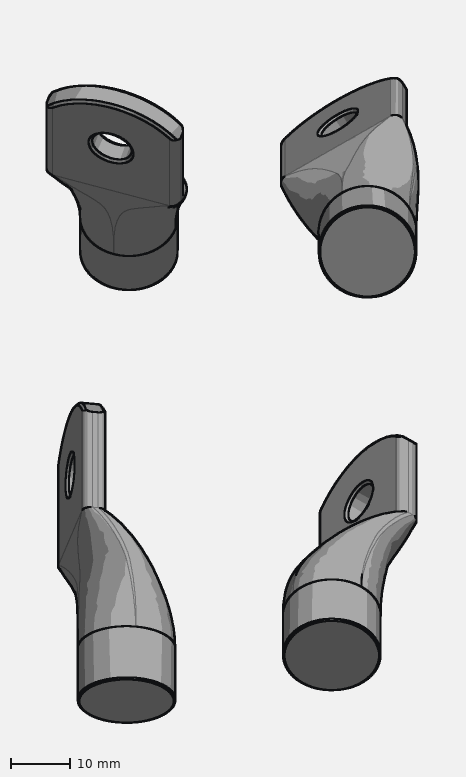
import cadquery as cq
import math


total_height = 54.0

barrel_diameter = 16.5
barrel_height = 10.0
barrel_front = 1.45
barrel_edge_chamfer = 0.25
barrel_radius = barrel_diameter / 2
barrel_axis_y = barrel_front + barrel_radius
barrel_back = barrel_front + barrel_diameter

palm_width = 23.8
palm_thickness = 4.0
palm_bottom = 30.0
palm_side_radius = 1.5
palm_top_radius = 15.0
palm_top_chamfer = 0.5
palm_half_width = palm_width / 2
palm_half_face_flat = palm_half_width - palm_side_radius
palm_half_side_flat = palm_thickness / 2 - palm_side_radius

hole_diameter = 7.0
hole_height = 42.0
hole_chamfer = 0.5

front_bend_start = 21.6
front_bend_end = 28.85
neck_sections = 16
least_half_flat = 0.025
widening_delay_power = 1.2
face_flat_power = 4

neck_height = palm_bottom - barrel_height
back_drop = barrel_back - palm_thickness
neck_back_radius = (neck_height**2 + back_drop**2) / (2 * back_drop)


def blend(start, end, fraction):
    return start + (end - start) * fraction


def smooth_step(fraction):
    """Rise from 0 to 1, level at both ends and constant beyond them."""
    t = min(max(fraction, 0.0), 1.0)
    return t * t * (3 - 2 * t)


def rounded_outline(half_width, front, back, half_face_flat, half_side_flat, z):
    """Closed wire at height z: flats on all four sides, joined by quarter ellipses."""
    half_depth = (back - front) / 2
    center_y = (back + front) / 2
    corner_x = half_width - half_face_flat
    corner_y = half_depth - half_side_flat
    outline = cq.Workplane("XY", origin=(0, center_y, z)).moveTo(half_width, -half_side_flat)
    for quadrant, (x_sign, y_sign) in enumerate([(1, 1), (-1, 1), (-1, -1), (1, -1)]):
        on_side = (x_sign * half_width, y_sign * half_side_flat)
        on_face = (x_sign * half_face_flat, y_sign * half_depth)
        start = on_side if x_sign == y_sign else on_face
        start_angle = 90 * quadrant
        outline = outline.lineTo(*start).ellipseArc(
            corner_x, corner_y, start_angle, start_angle + 90, startAtCurrent=True
        )
    return outline.close()


def neck_outline(z):
    """Neck cross-section: round at the barrel, flat at the palm."""
    rise = z - barrel_height
    progress = rise / neck_height
    back = barrel_back - neck_back_radius + math.sqrt(neck_back_radius**2 - rise**2)
    lean = smooth_step((z - front_bend_start) / (front_bend_end - front_bend_start))
    front = blend(barrel_front, 0, lean)
    widening = smooth_step(progress**widening_delay_power)
    half_width = blend(barrel_radius, palm_half_width, widening)
    half_face_flat = blend(least_half_flat, palm_half_face_flat, progress**face_flat_power)
    half_side_flat = blend(least_half_flat, palm_half_side_flat, progress)
    return rounded_outline(half_width, front, back, half_face_flat, half_side_flat, z)


def make_barrel():
    barrel = cq.Workplane("XY").center(0, barrel_axis_y).circle(barrel_radius).extrude(barrel_height)
    return barrel.faces("<Z").edges().chamfer(barrel_edge_chamfer)


def make_neck():
    heights = [blend(barrel_height, palm_bottom, i / neck_sections) for i in range(neck_sections + 1)]
    outlines = [neck_outline(z).val() for z in heights]
    return cq.Workplane(cq.Solid.makeLoft(outlines))


def make_palm():
    slab_height = total_height - palm_bottom
    slab = (
        cq.Workplane("XY", origin=(0, palm_thickness / 2, palm_bottom))
        .rect(palm_width, palm_thickness)
        .extrude(slab_height)
        .edges("|Z")
        .fillet(palm_side_radius)
    )
    arch_center_z = total_height - palm_top_radius
    arch = (
        cq.Workplane("XZ")
        .moveTo(-palm_top_radius, palm_bottom)
        .lineTo(palm_top_radius, palm_bottom)
        .lineTo(palm_top_radius, arch_center_z)
        .threePointArc((0, total_height), (-palm_top_radius, arch_center_z))
        .close()
        .extrude(-palm_thickness)
        .edges("%CIRCLE")
        .chamfer(palm_top_chamfer)
    )
    hole = cq.Workplane("XZ").center(0, hole_height).circle(hole_diameter / 2).extrude(-palm_thickness)
    arch = arch.cut(hole)
    hole_edges = arch.edges("%CIRCLE").edges(cq.selectors.RadiusNthSelector(0))
    return slab.intersect(hole_edges.chamfer(hole_chamfer))


result = make_barrel().union(make_neck()).union(make_palm())